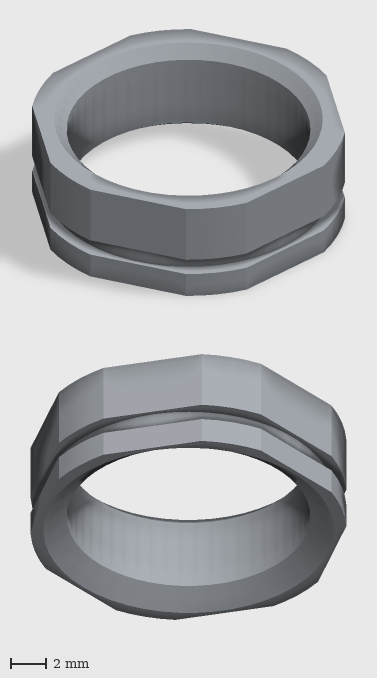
import cadquery as cq

across_flats = 17.0
corner_diameter = 17.96
height = 6.0

bore_diameter = 13.87
top_chamfer = 0.7
bottom_mouth_diameter = 16.5
bottom_cone_height = 0.95

groove_diameter = 16.5
groove_bottom = 1.5
groove_width = 0.99


def rounded_hexagon():
    """Hexagonal prism, flats facing +/-X, corners turned down to a cylinder."""
    hexagon = (
        cq.Workplane("XY")
        .polygon(6, across_flats, circumscribed=True)
        .extrude(height)
    )
    cylinder = cq.Workplane("XY").circle(corner_diameter / 2).extrude(height)
    return hexagon.intersect(cylinder)


def outer_groove():
    """Ring that cuts the groove, reaching out to the turned corners."""
    return (
        cq.Workplane("XY")
        .workplane(offset=groove_bottom)
        .circle(corner_diameter / 2)
        .circle(groove_diameter / 2)
        .extrude(groove_width)
    )


def chamfered_bore():
    """Through bore, widened by a cone at the top and at the bottom."""
    bore_radius = bore_diameter / 2
    top_mouth_radius = bore_radius + top_chamfer
    half_profile = [
        (0, 0),
        (bottom_mouth_diameter / 2, 0),
        (bore_radius, bottom_cone_height),
        (bore_radius, height - top_chamfer),
        (top_mouth_radius, height),
        (0, height),
    ]
    return cq.Workplane("XZ").polyline(half_profile).close().revolve(360, (0, 0), (0, 1))


result = rounded_hexagon().cut(outer_groove()).cut(chamfered_bore())